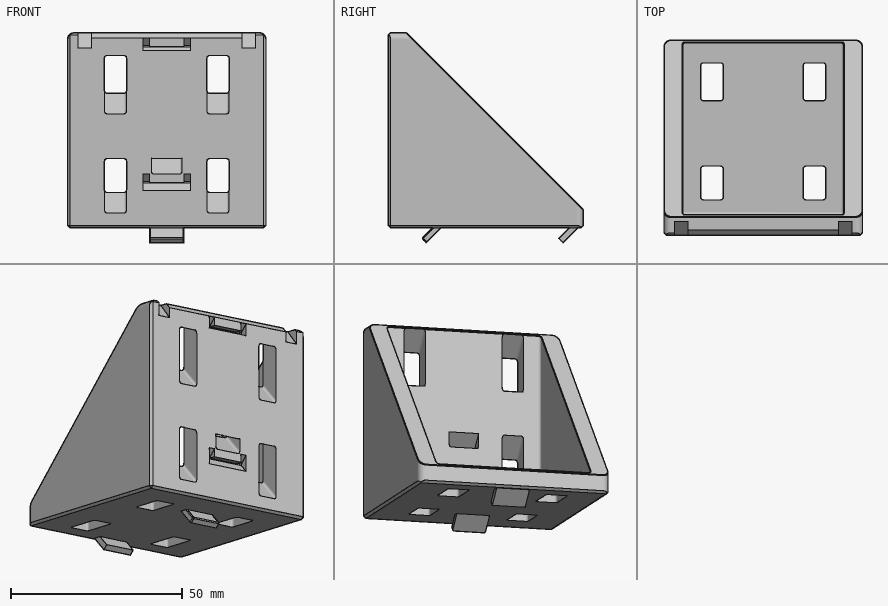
import cadquery as cq
import math

width = 58.0
leg = 57.0
tip_flat = 5.4
wall = 6.0
side_wall = 5.5
corner_radius = 2.0
edge_chamfer = 0.75
slope_chamfer = 0.2
inner_fillet = 0.75

lead_in = 1.55
notch_width = 3.9
notch_height = 4.55
notch_depth = 4.05
notch_x = 23.9

slot_width = 6.5
slot_x = 14.95
slot_spans = [(4.35, 20.2), (33.3, 50.3)]

tab_width = 10.0
tab_height = 4.35
tab_thickness = 1.85
tab_chamfer = 0.3
tab_root = 1.2
tab_pitch = 40.0
front_tab_y = 15.45
groove_width = 13.75
groove_depth = 2.2
groove_height = 4.85
lower_groove_top = 15.7
groove_pitch = 39.7
lip_height = 1.3
window_width = 9.0
window_height = 4.5

overcut = 0.6

slope_sum = leg + tip_flat


def prism(points, size, centre_x=0.0):
    """Extrude a (y, z) outline symmetrically about centre_x."""
    solid = cq.Workplane("YZ").polyline(points).close().extrude(size / 2, both=True)
    return solid.translate((centre_x, 0, 0))


def body():
    """Triangular block with bevelled front and bottom edges and rounded far corners."""
    plain = prism([(0, 0), (leg, 0), (leg, tip_flat), (tip_flat, leg), (0, leg)], width)
    bevelled = plain.faces("<Y or <Z").edges().chamfer(edge_chamfer)
    rounded = plain.edges("(>Y and |Z) and (<X or >X)").fillet(corner_radius)
    rounded = rounded.edges("(>Z and |Y) and (<X or >X)").fillet(corner_radius)
    return bevelled.intersect(rounded)


def cavity():
    """Hollow open on the sloping face, rounded where its walls meet."""
    reach = slope_sum - wall + overcut
    solid = prism([(wall, wall), (reach, wall), (wall, reach)], width - 2 * side_wall)
    return solid.edges("(<Y and <Z) or (<Y and (<X or >X)) or (<Z and (<X or >X))").fillet(inner_fillet)


def notches():
    """Lead-in along the top front edge between two deeper notches."""
    notch = [(0, leg - notch_height), (notch_depth, leg), (0, leg)]
    strip = [(0, leg - lead_in), (lead_in, leg), (0, leg)]
    cut = prism(strip, 2 * notch_x)
    for side in (-1, 1):
        cut = cut.union(prism(notch, notch_width, side * notch_x))
    return cut


def slanted(low, high, size, centre_x):
    """Opening rising at 45 degrees through the front wall, between two heights on its outer face."""
    start, end = -overcut, wall + overcut
    points = [(start, low + start), (end, low + end), (end, high + end), (start, high + start)]
    return prism(points, size, centre_x)


def screw_slots():
    """Four slanted slots through the front wall and a straight one through the floor for each."""
    slots = cq.Workplane()
    for low, high in slot_spans:
        clear_low = low + wall
        floor_size = (slot_width, high - clear_low, 2 * (wall + overcut))
        for side in (-1, 1):
            front_slot = slanted(low, high, slot_width, side * slot_x)
            slots = slots.add(front_slot.edges("|(0,1,1)").fillet(inner_fillet))
            floor_slot = cq.Workplane().box(*floor_size).edges("|Z").fillet(inner_fillet)
            slots = slots.add(floor_slot.translate((side * slot_x, (clear_low + high) / 2, 0)))
    return slots.combine()


def groove(top, lip=0.0):
    """V groove across the front wall, with a tab-wide tongue left in its upper half."""
    bottom = top - groove_height
    points = [
        (0, bottom),
        (groove_depth, bottom + groove_depth),
        (groove_depth, top - groove_depth),
        (0, top),
    ]
    middle = top - groove_height / 2
    tongue = cq.Workplane().box(tab_width, groove_depth, top - middle, centered=(True, False, False))
    cut = prism(points, groove_width).cut(tongue.translate((0, 0, middle)))
    if lip:
        filled = cq.Workplane().box(groove_width, groove_depth, lip, centered=(True, False, False))
        cut = cut.cut(filled.translate((0, 0, bottom)))
    return cut


def window():
    """Slanted opening above the lower groove, rounded along its bottom edges."""
    opening = slanted(lower_groove_top, lower_groove_top + window_height, window_width, 0)
    return opening.edges("|(0,1,1) and >(0,1,-1)").fillet(inner_fillet)


def tab(back_y):
    """Locking tab sloping down and forward from the floor."""
    step = tab_thickness / math.sqrt(2)
    points = [
        (back_y + tab_root, tab_root),
        (back_y - tab_height, -tab_height),
        (back_y - tab_height - step, step - tab_height),
        (back_y + tab_root - step, tab_root + step),
    ]
    return prism(points, tab_width)


block = body().cut(cavity())
block = block.faces(">(0,1,1)").edges().chamfer(slope_chamfer)
block = block.cut(notches()).cut(screw_slots()).cut(window())
block = block.cut(groove(lower_groove_top)).cut(groove(lower_groove_top + groove_pitch, lip_height))

front_tab = tab(front_tab_y)
front_tab = front_tab.edges("(<(0,1,1) and (not <(0,-1,1))) or (|(0,1,1) and >(0,-1,1))").chamfer(tab_chamfer)
result = block.union(front_tab).union(tab(front_tab_y + tab_pitch))